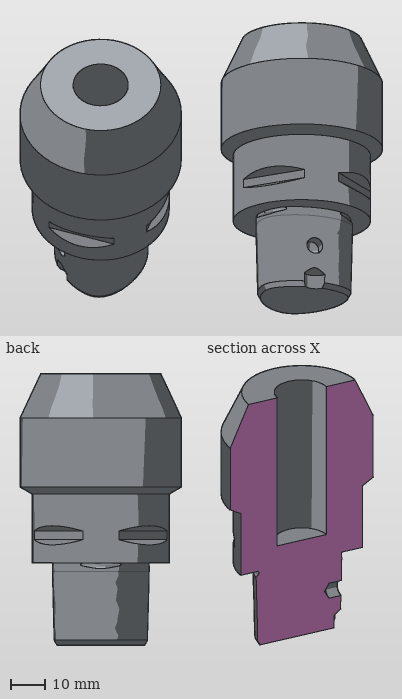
import cadquery as cq
import math

total_height = 79.0
flange_bottom = 24.0
collar_start = 44.0

flange_radius = 20.0
collar_radius = 23.5
nose_radius = 17.5
nose_angle = 25.0
collar_slope = 30.0
bore_radius = 8.0
bore_depth = 6 * bore_radius

shank_radius = 14.1
lobe_height = 0.9
taper_ratio = 1 / 20
land_height = 2.5
shank_chamfer_height = 1.5
shank_chamfer_width = 0.85
outline_points = 48

ring_radius = 14.08
ring_floor_round = 0.6
ring_floor_drop = 0.5
ring_outer_radius = 16.0
ring_slope = 45.0

gripper_height = 32.0
gripper_floor_width = 2.5
gripper_floor_distance = 17.35
gripper_flank_angle = 30.0

dimple_radius = 2.35
dimple_height = 12.5
dimple_depth = 4.0
dimple_tip_angle = 118.0
keyway_radius = 3.5
keyway_axis_offset = 1.35
keyway_tip_angle = 104.0
keyway_depth = 4.0


def rise(angle, run):
    """Height climbed over a run at an angle in degrees."""
    return run * math.tan(math.radians(angle))


def lobed_outline(mean_radius, height):
    """Smooth three-lobed curve of constant width at the given height."""
    points = []
    for i in range(outline_points):
        angle = 2 * math.pi * i / outline_points
        support = mean_radius - lobe_height * math.sin(3 * angle)
        slope = -3 * lobe_height * math.cos(3 * angle)
        x = support * math.cos(angle) - slope * math.sin(angle)
        y = support * math.sin(angle) + slope * math.cos(angle)
        points.append(cq.Vector(x, y, height))
    return cq.Wire.assembleEdges([cq.Edge.makeSpline(points, periodic=True)])


def lobed_section(bottom_radius, bottom, top_radius, top):
    """Solid between two lobed outlines."""
    outlines = [lobed_outline(bottom_radius, bottom), lobed_outline(top_radius, top)]
    return cq.Workplane(obj=cq.Solid.makeLoft(outlines, True))


def taper_radius(height):
    """Mean shank radius at a height on the taper."""
    return shank_radius - (flange_bottom - land_height - height) * taper_ratio / 2


def pointed_drill(radius, length, tip_angle):
    """Drill along +Z from the origin: straight length, then a conical tip."""
    tip = radius / math.tan(math.radians(tip_angle / 2))
    return (
        cq.Workplane("XZ")
        .polyline([(0, 0), (radius, 0), (radius, length), (0, length + tip)])
        .close()
        .revolve(360, (0, 0, 0), (0, 1, 0))
    )


def make_body():
    collar_bottom = collar_start + rise(collar_slope, collar_radius - flange_radius)
    nose_start = total_height - (collar_radius - nose_radius) / math.tan(math.radians(nose_angle))
    body = (
        cq.Workplane("XZ")
        .polyline([
            (0, flange_bottom),
            (flange_radius, flange_bottom),
            (flange_radius, collar_start),
            (collar_radius, collar_bottom),
            (collar_radius, nose_start),
            (nose_radius, total_height),
            (0, total_height),
        ])
        .close()
        .revolve(360, (0, 0, 0), (0, 1, 0))
    )
    bore = cq.Workplane("XY", origin=(0, 0, total_height - bore_depth)).circle(bore_radius).extrude(bore_depth)
    return body.cut(bore)


def make_shank():
    land_bottom = flange_bottom - land_height
    chamfer_radius = taper_radius(shank_chamfer_height)
    end_radius = chamfer_radius - shank_chamfer_width
    chamfer = lobed_section(end_radius, 0, chamfer_radius, shank_chamfer_height)
    taper = lobed_section(chamfer_radius, shank_chamfer_height, shank_radius, land_bottom)
    land = lobed_section(shank_radius, land_bottom, shank_radius, flange_bottom)
    return chamfer.union(taper).union(land)


def make_ring_groove():
    """Groove with a round floor that runs tangent into a conical lower flank."""
    center_radius = ring_radius + ring_floor_round
    center_height = flange_bottom - ring_floor_drop
    lip_radius = center_radius - math.sqrt(ring_floor_round ** 2 - ring_floor_drop ** 2)
    flank_angle = math.radians(ring_slope)
    flank_radius = center_radius - ring_floor_round * math.sin(flank_angle)
    flank_height = center_height - ring_floor_round * math.cos(flank_angle)
    return (
        cq.Workplane("XZ")
        .moveTo(lip_radius, flange_bottom)
        .threePointArc((ring_radius, center_height), (flank_radius, flank_height))
        .lineTo(ring_outer_radius, flank_height - rise(ring_slope, ring_outer_radius - flank_radius))
        .lineTo(ring_outer_radius, flange_bottom)
        .close()
        .revolve(360, (0, 0, 0), (0, 1, 0))
    )


def make_gripper_groove():
    """Groove cut across the +X side of the flange."""
    half_floor = gripper_floor_width / 2
    half_mouth = half_floor + rise(gripper_flank_angle, flange_radius - gripper_floor_distance)
    return (
        cq.Workplane("XZ", origin=(0, 0, gripper_height))
        .polyline([
            (gripper_floor_distance, -half_floor),
            (flange_radius, -half_mouth),
            (flange_radius, half_mouth),
            (gripper_floor_distance, half_floor),
        ])
        .close()
        .extrude(flange_radius, both=True)
    )


def make_dimple():
    surface = taper_radius(dimple_height) - lobe_height
    drill = pointed_drill(dimple_radius, 2 * dimple_depth, dimple_tip_angle)
    return drill.rotate((0, 0, 0), (1, 0, 0), -90).translate((0, -surface - dimple_depth, dimple_height))


def make_keyway():
    axis_distance = taper_radius(keyway_depth) - lobe_height + keyway_axis_offset
    return pointed_drill(keyway_radius, keyway_depth, keyway_tip_angle).translate((0, -axis_distance, 0))


shank = make_shank().cut(make_ring_groove()).cut(make_dimple()).cut(make_keyway())
body = make_body()
for diagonal in (45, 135, 225, 315):
    body = body.cut(make_gripper_groove().rotate((0, 0, 0), (0, 0, 1), diagonal))

result = body.union(shank)